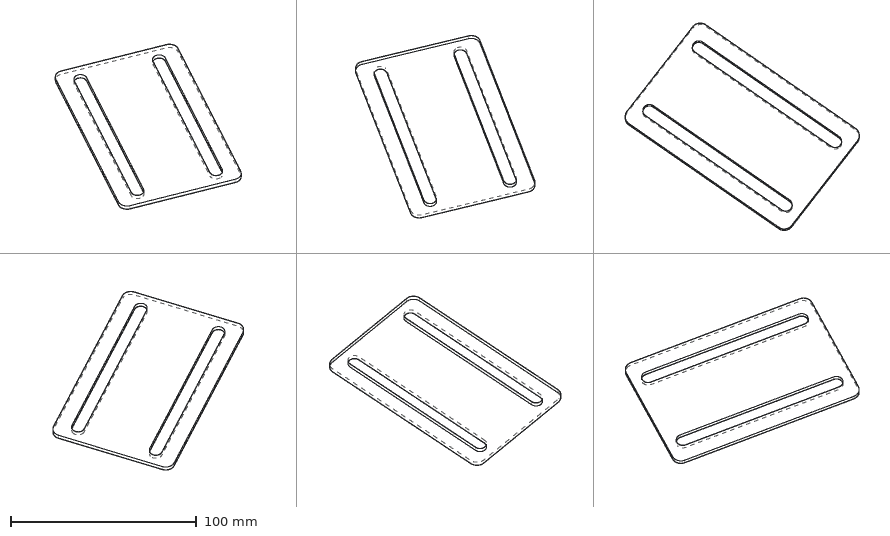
import cadquery as cq

plate_length = 110.0
plate_width = 70.0
plate_thickness = 2.5
corner_radius = 5.0

slot_length = 98.0
slot_width = 7.0
slot_spacing = 45.0


def make_plate():
    """Flat plate with rounded vertical corners, centred on the origin."""
    plate = cq.Workplane("XY").box(plate_length, plate_width, plate_thickness)
    return plate.edges("|Z").fillet(corner_radius)


def cut_strap_slots(plate):
    """Cut both slots through the plate, symmetric about the X axis."""
    slot_centres = [(0, -slot_spacing / 2), (0, slot_spacing / 2)]
    return (
        plate.faces(">Z")
        .workplane()
        .pushPoints(slot_centres)
        .slot2D(slot_length, slot_width)
        .cutThruAll()
    )


result = cut_strap_slots(make_plate())